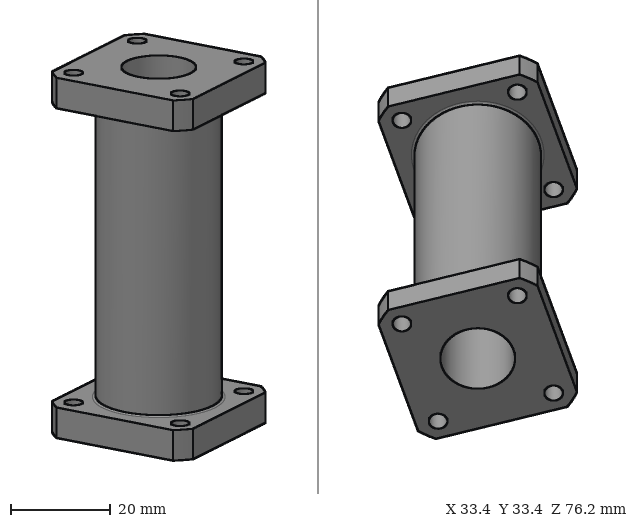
import cadquery as cq
import math

total_height = 76.2
flange_side = 33.4
flange_thickness = 6.5

corner_setback = 2.9
corner_radius = math.hypot(flange_side / 2, flange_side / 2 - corner_setback)

tube_diameter = 25.45
bore_diameter = 15.0

flare_width = 0.6
flare_height = 0.3

bolt_spacing_x = 25.2
bolt_spacing_y = 24.2
bolt_hole_diameter = 3.7


def make_flange(bottom_z):
    """Square plate with arc-trimmed corners and four bolt holes."""
    base = cq.Workplane("XY", origin=(0, 0, bottom_z))
    square = base.rect(flange_side, flange_side).extrude(flange_thickness)
    disc = base.circle(corner_radius).extrude(flange_thickness)
    bolt_holes = (
        base.rect(bolt_spacing_x, bolt_spacing_y, forConstruction=True)
        .vertices()
        .circle(bolt_hole_diameter / 2)
        .extrude(flange_thickness)
    )
    return square.intersect(disc).cut(bolt_holes)


def make_tube():
    """Solid of revolution between the flanges, with a concave flare at both ends."""
    radius = tube_diameter / 2
    root_radius = radius + flare_width
    low = flange_thickness
    high = total_height - flange_thickness
    flare_radius = (flare_width**2 + flare_height**2) / (2 * flare_height)
    half_sweep = math.asin(flare_width / flare_radius) / 2
    mid_radius = root_radius - flare_radius * math.sin(half_sweep)
    mid_height = flare_radius * (1 - math.cos(half_sweep))
    return (
        cq.Workplane("XZ")
        .moveTo(0, low)
        .lineTo(root_radius, low)
        .threePointArc((mid_radius, low + mid_height), (radius, low + flare_height))
        .lineTo(radius, high - flare_height)
        .threePointArc((mid_radius, high - mid_height), (root_radius, high))
        .lineTo(0, high)
        .close()
        .revolve(360, (0, 0, 0), (0, 1, 0))
    )


bottom_flange = make_flange(0)
top_flange = make_flange(total_height - flange_thickness)
bore = cq.Workplane("XY").circle(bore_diameter / 2).extrude(total_height)

result = make_tube().union(bottom_flange).union(top_flange).cut(bore)